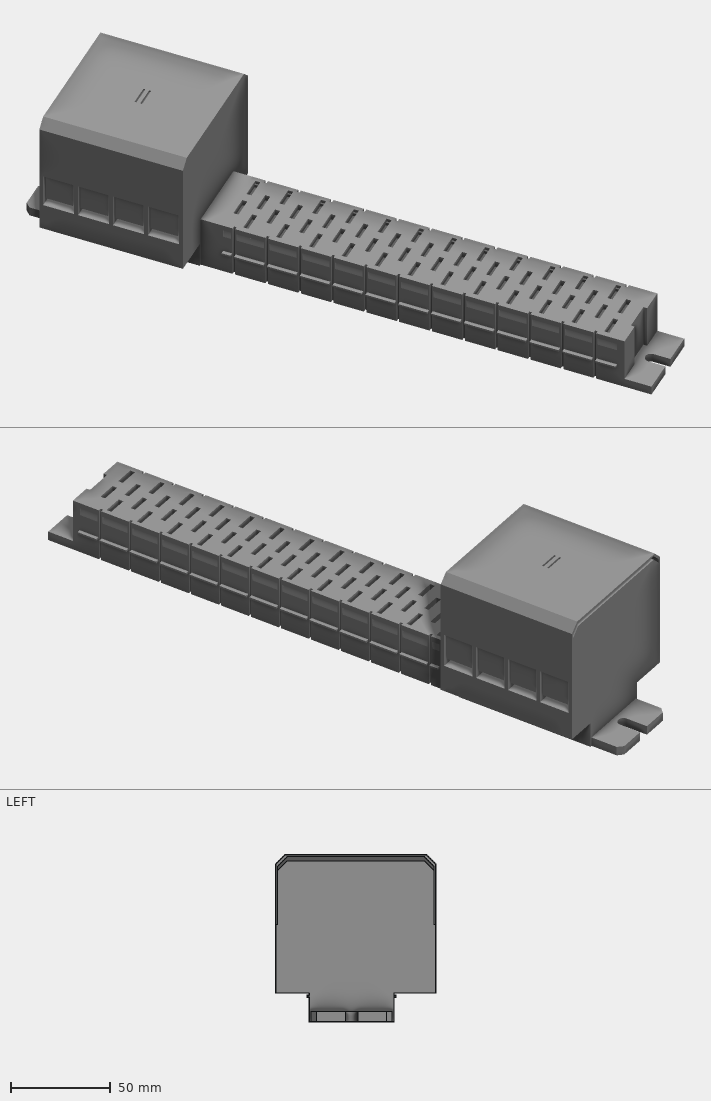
import cadquery as cq

overall_length = 343.8
rail_width = 40.5
rail_height = 30.0
foot_thickness = 5.0
foot_slot_width = 6.2
overcut = 3.5

block_start = 109.0
block_length = 108.0
block_count = 2
modules_per_block = 6
module_pitch = block_length / modules_per_block
flange_width = 44.7
flange_bottom = 12.5
flange_height = 1.0
grip_bottom = 22.7
grip_top = 26.8
grip_depth = 1.0
groove_offset = 6.0
groove_width = 1.5
groove_floor_width = 37.0
grip_gap = 3.0
flange_gap = 2.0
slot_width = 2.8
slot_length = 11.0
slot_depth = 3.5
slot_row_pitch = 16.0
first_slot_x = 2.0
first_slot_y = 12.5
slot_step_length = 1.0
slot_step_depth = 1.7

housing_start = 18.0
housing_length = 78.7
housing_width = 80.5
housing_center_y = -2.0
housing_bottom = 14.5
housing_height = 84.0
pedestal_width = 42.5
corner_bevel = 4.8
left_slot_length = 15.0
foot_corner_chamfer = 2.8

lid_bottom = 48.8
lid_wall = 1.0
lid_gap = 2.0
lid_slot_width = 1.0
lid_slot_spacing = 3.0
lid_slot_center_y = -3.0

window_count = 4
window_post = 2.0
window_width = (housing_length - (window_count + 1) * window_post) / window_count
panel_side_gap = 1.0
panel_bottom = 34.0

bracket_start = block_start + block_count * block_length
bracket_wall = 4.0
bracket_notch_width = 15.5
bracket_notch_depth = 2.0
right_slot_length = 12.5


def box(x, y_center, z, length, width, height):
    """Box with its left end at x, its bottom at z, centred on y_center."""
    solid = cq.Workplane("XY").box(length, width, height, centered=(False, True, False))
    return solid.translate((x, y_center, z))


def foot_slot(open_x, length, direction):
    """Cutter for a round-ended slot that runs from open_x along direction (+1 or -1)."""
    radius = foot_slot_width / 2
    return (
        cq.Workplane("XY")
        .moveTo(open_x - direction * overcut, -radius)
        .lineTo(open_x + direction * (length - radius), -radius)
        .threePointArc((open_x + direction * length, 0), (open_x + direction * (length - radius), radius))
        .lineTo(open_x - direction * overcut, radius)
        .close()
        .extrude(foot_thickness)
    )


def bevelled_prism(length, width, bottom, top):
    """Prism along X over the housing, with both upper long edges bevelled."""
    prism = box(housing_start, housing_center_y, bottom, length, width, top - bottom)
    return prism.edges("|X and >Z").chamfer(corner_bevel)


def lid_interior(length, top):
    """Space inside the lid walls, up to the given height."""
    return bevelled_prism(length, housing_width - 2 * lid_wall, lid_bottom, top)


def marker_slots():
    """Cutter for the pair of slots through the lid and on into the housing."""
    depth = lid_wall + lid_gap + slot_depth
    slot = box(
        housing_start + (housing_length - lid_slot_width) / 2,
        lid_slot_center_y,
        housing_height - depth,
        lid_slot_width,
        slot_length,
        depth,
    )
    half_spacing = lid_slot_spacing / 2
    return slot.translate((-half_spacing, 0, 0)).union(slot.translate((half_spacing, 0, 0)))


def make_housing():
    foot = box(0, 0, 0, housing_start, rail_width, foot_thickness).edges("|Z and <X").chamfer(foot_corner_chamfer)
    rail = box(housing_start, 0, 0, block_start - housing_start, rail_width, rail_height)
    pedestal = box(housing_start, 0, 0, housing_length, pedestal_width, housing_bottom)
    lower_box = box(
        housing_start, housing_center_y, housing_bottom, housing_length, housing_width, lid_bottom - housing_bottom
    )
    upper_box = lid_interior(housing_length, housing_height - lid_wall - lid_gap)
    housing = foot.union(rail).union(pedestal).union(lower_box).union(upper_box)
    housing = housing.cut(foot_slot(0, left_slot_length, 1)).cut(marker_slots())

    panel_depth = housing_width - 2 * lid_wall
    for index in range(window_count):
        x = housing_start + window_post + index * (window_width + window_post)
        opening = box(x, housing_center_y, rail_height, window_width, housing_width, lid_bottom - rail_height)
        panel = box(
            x + panel_side_gap,
            housing_center_y,
            panel_bottom,
            window_width - 2 * panel_side_gap,
            panel_depth,
            lid_bottom - panel_bottom,
        )
        housing = housing.cut(opening.cut(panel))
    return housing


def make_lid():
    outside = bevelled_prism(housing_length, housing_width, lid_bottom, housing_height)
    housing_space = lid_interior(housing_length, housing_height - lid_wall - lid_gap)
    clearance = lid_interior(housing_length - lid_wall, housing_height - lid_wall)
    return outside.cut(housing_space).cut(clearance).cut(marker_slots())


def groove_pair(center_x):
    """Cutter for the matching vertical grooves in the two long sides."""
    left_x = center_x - groove_width / 2
    cutter = box(left_x, 0, 0, groove_width, rail_width, rail_height)
    return cutter.cut(box(left_x, 0, 0, groove_width, groove_floor_width, rail_height))


def grip_pair(left_x, right_x):
    """Cutter for the matching grips in the two long sides, between left_x and right_x."""
    face = rail_width / 2
    right_grip = (
        cq.Workplane("YZ")
        .polyline([(face, grip_bottom), (face, grip_top), (face - grip_depth, grip_top)])
        .close()
        .extrude(right_x - left_x)
        .translate((left_x, 0, 0))
    )
    return right_grip.union(right_grip.mirror("XZ"))


def top_slot(center_x, center_y):
    """Cutter for one terminal slot in the top face."""
    return box(center_x - slot_width / 2, center_y, rail_height - slot_depth, slot_width, slot_length, slot_depth)


def slot_step(center_x, center_y):
    """Ledge that fills the lower part of a slot at its +Y end."""
    step_y = center_y + (slot_length - slot_step_length) / 2
    step_height = slot_depth - slot_step_depth
    return box(
        center_x - slot_width / 2, step_y, rail_height - slot_depth, slot_width, slot_step_length, step_height
    )


def spans_between(centers, gap, start_x, end_x):
    """Left and right ends of the stretches from start_x to end_x that skip a gap at each center."""
    left_ends = [start_x] + [x + gap / 2 for x in centers]
    right_ends = [x - gap / 2 for x in centers] + [end_x]
    return zip(left_ends, right_ends)


def make_block(start_x):
    end_x = start_x + block_length
    block = box(start_x, 0, 0, block_length, rail_width, rail_height)
    groove_places = [start_x + groove_offset + index * module_pitch for index in range(modules_per_block)]

    for left_x, right_x in spans_between(groove_places, flange_gap, start_x, end_x):
        block = block.union(box(left_x, 0, flange_bottom, right_x - left_x, flange_width, flange_height))
    for left_x, right_x in spans_between(groove_places, grip_gap, start_x, end_x):
        block = block.cut(grip_pair(left_x, right_x))
    for groove_x in groove_places:
        block = block.cut(groove_pair(groove_x))

    for index in range(modules_per_block):
        slot_x = start_x + index * module_pitch + first_slot_x
        stagger_x = slot_x + module_pitch / 2
        stagger_y = first_slot_y - slot_row_pitch / 2
        block = block.cut(top_slot(slot_x, first_slot_y).cut(slot_step(slot_x, first_slot_y)))
        block = block.cut(top_slot(slot_x, first_slot_y - slot_row_pitch))
        block = block.cut(top_slot(stagger_x, stagger_y))
        block = block.cut(top_slot(stagger_x, stagger_y - slot_row_pitch))
    return block


def make_end_bracket():
    foot = box(bracket_start, 0, 0, overall_length - bracket_start, rail_width, foot_thickness)
    wall = box(bracket_start, 0, 0, bracket_wall, rail_width, rail_height)
    notch = box(
        bracket_start + bracket_wall - bracket_notch_depth,
        0,
        foot_thickness,
        bracket_notch_depth,
        bracket_notch_width,
        rail_height - foot_thickness,
    )
    return foot.union(wall).cut(notch).cut(foot_slot(overall_length, right_slot_length, -1))


housing = make_housing()
lid = make_lid()
blocks = [make_block(block_start + index * block_length) for index in range(block_count)]
end_bracket = make_end_bracket()

result = cq.Compound.makeCompound(
    [housing.val(), lid.val(), *[block.val() for block in blocks], end_bracket.val()]
)